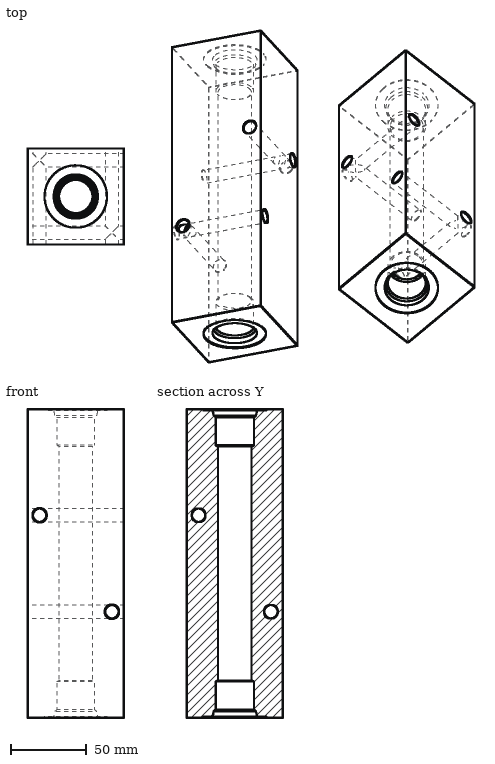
import cadquery as cq
import math

side = 63.5
height = 203.2
edge_break = 0.25

spotface_diameter = 41.15
spotface_depth = 0.76
seat_mouth_diameter = 29.2
seat_floor_diameter = 27.6
seat_depth = 3.3
thread_diameter = 24.9
thread_depth = 23.0
through_bore_diameter = 21.9
drill_point_angle = 118

mounting_hole_diameter = 8.75
mounting_hole_mouth_chamfer = 0.4
mounting_hole_inset = 7.95
mounting_hole_offset = side / 2 - mounting_hole_inset
mounting_hole_height = side / 2


def make_block():
    """Block with every outer edge lightly chamfered."""
    return cq.Workplane("XY").box(side, side, height).edges().chamfer(edge_break)


def make_through_bore():
    """Cutter for the bore that joins the two ports."""
    return cq.Workplane("XY").circle(through_bore_diameter / 2).extrude(height, both=True)


def make_top_port():
    """Port cutter: spotface, tapered seal seat, 45 degree lead-in, thread bore and drill point."""
    top = height / 2
    spotface_floor = top - spotface_depth
    seat_end = spotface_floor - seat_depth
    lead_in_end = seat_end - (seat_floor_diameter - thread_diameter) / 2
    thread_end = spotface_floor - thread_depth
    point_length = thread_diameter / 2 / math.tan(math.radians(drill_point_angle / 2))
    return (
        cq.Workplane("XZ")
        .moveTo(0, top)
        .lineTo(spotface_diameter / 2, top)
        .lineTo(spotface_diameter / 2, spotface_floor)
        .lineTo(seat_mouth_diameter / 2, spotface_floor)
        .lineTo(seat_floor_diameter / 2, seat_end)
        .lineTo(thread_diameter / 2, lead_in_end)
        .lineTo(thread_diameter / 2, thread_end)
        .lineTo(0, thread_end - point_length)
        .close()
        .revolve(360, (0, 0, 0), (0, 1, 0))
    )


def make_mounting_hole():
    """Cutter along Z, one block width long, flared at both mouths by a small chamfer."""
    radius = mounting_hole_diameter / 2
    mouth_radius = radius + mounting_hole_mouth_chamfer
    face = side / 2
    return (
        cq.Workplane("XZ")
        .moveTo(0, -face)
        .lineTo(mouth_radius, -face)
        .lineTo(radius, -face + mounting_hole_mouth_chamfer)
        .lineTo(radius, face - mounting_hole_mouth_chamfer)
        .lineTo(mouth_radius, face)
        .lineTo(0, face)
        .close()
        .revolve(360, (0, 0, 0), (0, 1, 0))
    )


top_port = make_top_port()
bottom_port = top_port.mirror("XY")
mounting_hole = make_mounting_hole()
hole_along_y = mounting_hole.rotate((0, 0, 0), (1, 0, 0), 90)
hole_along_x = mounting_hole.rotate((0, 0, 0), (0, 1, 0), 90)

result = make_block().cut(make_through_bore()).cut(top_port).cut(bottom_port)

for direction in (1, -1):
    hole_z = direction * mounting_hole_height
    hole_offset = direction * mounting_hole_offset
    result = result.cut(hole_along_y.translate((-hole_offset, 0, hole_z)))
    result = result.cut(hole_along_x.translate((0, hole_offset, hole_z)))